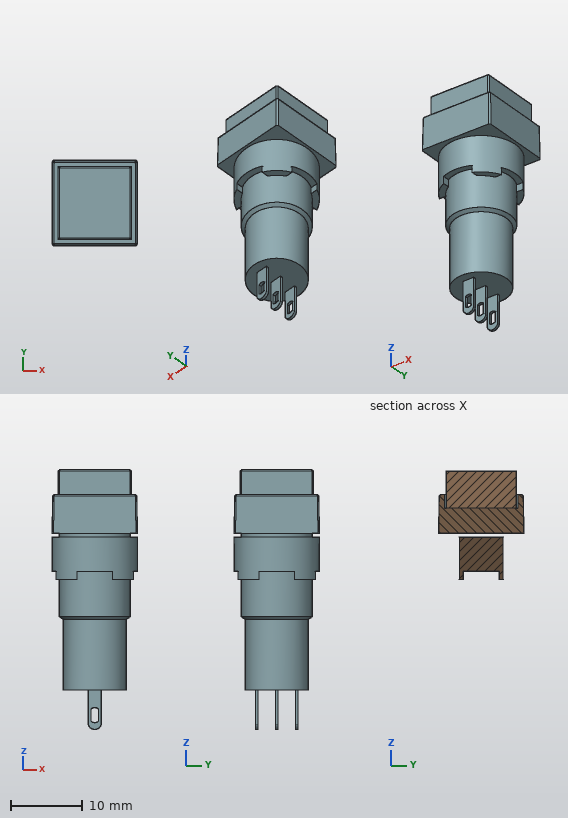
import cadquery as cq
import math

button_top = 36.5
bezel_top = 33.0
bezel_bottom = 27.52
button_bottom = 31.05
nut_top = 27.0
notch_top = 22.2
nut_bottom = 21.02
barrel_taper_top = 15.85
barrel_taper_bottom = 15.45
neck_bottom = 5.55

button_side = 10.3
button_chamfer = 0.22

bezel_side = 12.0
bezel_top_side = 11.83
bezel_chamfer = 0.22

barrel_diameter = 10.0
neck_diameter = 8.87
nut_diameter = bezel_side
notch_width = 5.0

terminal_count = 3
terminal_pitch = 2.8
terminal_width = 1.85
terminal_thickness = 0.4
tip_height = 0.73
eye_width = 1.0
eye_bottom = 1.0
eye_top = 3.05
eye_arc_height = 0.2


def cylinder(diameter, bottom, top):
    """Upright round bar centred on the Z axis."""
    return cq.Workplane("XY").workplane(offset=bottom).circle(diameter / 2).extrude(top - bottom)


def make_button():
    """Square push button whose foot rests in the bezel window."""
    height = button_top - button_bottom
    button = cq.Workplane("XY").workplane(offset=button_bottom).rect(button_side, button_side).extrude(height)
    return button.edges("|Z").chamfer(button_chamfer).faces(">Z").edges().chamfer(button_chamfer)


def make_bezel():
    """Square frame with drafted sides, bevelled edges and a square window for the button."""
    height = bezel_top - bezel_bottom
    draft = math.degrees(math.atan((bezel_side - bezel_top_side) / 2 / height))
    block = cq.Workplane("XY").workplane(offset=bezel_bottom).rect(bezel_side, bezel_side)
    block = block.extrude(height, taper=draft)
    block = block.edges("not(|X or |Y)").chamfer(bezel_chamfer)
    block = block.faces(">Z").edges().chamfer(bezel_chamfer)
    window = cq.Workplane("XY").workplane(offset=button_bottom).rect(button_side, button_side)
    window = window.extrude(bezel_top - button_bottom)
    return block.cut(window)


def make_housing():
    """Bezel on a round barrel that tapers into a narrower neck."""
    taper_inset = (barrel_diameter - neck_diameter) / 2
    barrel = cylinder(barrel_diameter, barrel_taper_bottom, bezel_bottom)
    barrel = barrel.faces("<Z").edges().chamfer(barrel_taper_top - barrel_taper_bottom, taper_inset)
    neck = cylinder(neck_diameter, neck_bottom, barrel_taper_bottom)
    return barrel.union(neck).union(make_bezel())


def make_nut():
    """Ring nut with four notches across its lower rim."""
    nut = cylinder(nut_diameter, nut_bottom, nut_top).cut(cylinder(barrel_diameter, nut_bottom, nut_top))
    height = notch_top - nut_bottom
    for across_x, across_y in [(nut_diameter, notch_width), (notch_width, nut_diameter)]:
        notch = cq.Workplane("XY").workplane(offset=nut_bottom).rect(across_x, across_y).extrude(height)
        nut = nut.cut(notch)
    return nut


def make_terminal(y):
    """Flat solder lug with a rounded tip and a round-ended eye."""
    half = terminal_width / 2
    eye_half = eye_width / 2
    return (
        cq.Workplane("XZ", origin=(0, y + terminal_thickness / 2, 0))
        .moveTo(-half, neck_bottom)
        .lineTo(-half, tip_height)
        .threePointArc((0, 0), (half, tip_height))
        .lineTo(half, neck_bottom)
        .close()
        .moveTo(-eye_half, eye_bottom + eye_arc_height)
        .threePointArc((0, eye_bottom), (eye_half, eye_bottom + eye_arc_height))
        .lineTo(eye_half, eye_top - eye_arc_height)
        .threePointArc((0, eye_top), (-eye_half, eye_top - eye_arc_height))
        .close()
        .extrude(terminal_thickness)
    )


button = make_button()
nut = make_nut()
housing = make_housing()
for index in range(terminal_count):
    terminal_y = (index - (terminal_count - 1) / 2) * terminal_pitch
    housing = housing.union(make_terminal(terminal_y))

result = cq.Compound.makeCompound([button.val(), housing.val(), nut.val()])